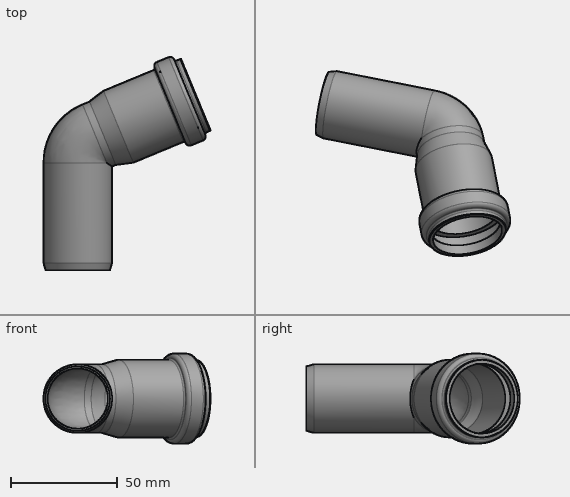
import cadquery as cq
import math

overall_length = 100.2

pipe_outer_r = 32.2 / 2
pipe_bore_r = 28.2 / 2
tip_taper_length = 3.5
tip_outer_r = 15.1

bend_radius = 13.5
bend_angle = 67.5

neck_end = 3.5
cone_end = 11.5
ring_start = 37.8
ring_end = 47.8
mouth_end = 50.9
socket_outer_r = 36.6 / 2
socket_bore_r = 33.0 / 2
lip_outer_r = socket_outer_r
lip_edge_r = 36.3 / 2
lip_edge_length = 0.4
lip_bore_r = 32.7 / 2
ring_outer_r = 42.4 / 2
groove_r = 38.8 / 2
wall = ring_outer_r - groove_r
ring_corner_r = 2.0
ring_root_r = 0.8
groove_start = ring_start + wall
groove_end = ring_end - wall

socket_turn = -bend_angle
socket_x = bend_radius * (1 - math.cos(math.radians(bend_angle)))
socket_y = bend_radius * math.sin(math.radians(bend_angle))

ring_top_y = (
    socket_y
    + (ring_end - ring_corner_r) * math.cos(math.radians(bend_angle))
    + (ring_outer_r - ring_corner_r) * math.sin(math.radians(bend_angle))
    + ring_corner_r
)
spigot_length = overall_length - ring_top_y


def revolve_about_y(outline):
    return outline.close().revolve(360, (0, 0, 0), (0, 1, 0))


def bend_solid(radius):
    """Revolve the part of the pipe's disc that lies outside the bend's turning axis."""
    half_chord = math.sqrt(radius**2 - bend_radius**2)
    section = (
        cq.Workplane("XZ")
        .moveTo(bend_radius, -half_chord)
        .threePointArc((-radius, 0), (bend_radius, half_chord))
        .close()
    )
    return section.revolve(bend_angle, (bend_radius, half_chord), (bend_radius, -half_chord))


def spigot_outside():
    return revolve_about_y(
        cq.Workplane("XY")
        .moveTo(0, 0)
        .lineTo(pipe_outer_r, 0)
        .lineTo(pipe_outer_r, tip_taper_length - spigot_length)
        .lineTo(tip_outer_r, -spigot_length)
        .lineTo(0, -spigot_length)
    )


def spigot_bore():
    return cq.Workplane("XZ").circle(pipe_bore_r).extrude(spigot_length)


def place_on_socket_axis(shape):
    return shape.rotate((0, 0, 0), (0, 0, 1), socket_turn).translate((socket_x, socket_y, 0))


def socket_outside():
    diagonal = ring_corner_r * (1 - math.sqrt(0.5))
    root_diagonal = ring_root_r * (1 - math.sqrt(0.5))
    return revolve_about_y(
        cq.Workplane("XY")
        .moveTo(0, 0)
        .lineTo(pipe_outer_r, 0)
        .lineTo(pipe_outer_r, neck_end)
        .lineTo(socket_outer_r, cone_end)
        .lineTo(socket_outer_r, ring_start - ring_root_r)
        .threePointArc(
            (socket_outer_r + root_diagonal, ring_start - root_diagonal),
            (socket_outer_r + ring_root_r, ring_start),
        )
        .lineTo(ring_outer_r - ring_corner_r, ring_start)
        .threePointArc(
            (ring_outer_r - diagonal, ring_start + diagonal),
            (ring_outer_r, ring_start + ring_corner_r),
        )
        .lineTo(ring_outer_r, ring_end - ring_corner_r)
        .threePointArc(
            (ring_outer_r - diagonal, ring_end - diagonal),
            (ring_outer_r - ring_corner_r, ring_end),
        )
        .lineTo(lip_outer_r + ring_root_r, ring_end)
        .threePointArc(
            (lip_outer_r + root_diagonal, ring_end + root_diagonal),
            (lip_outer_r, ring_end + ring_root_r),
        )
        .lineTo(lip_outer_r, mouth_end - lip_edge_length)
        .lineTo(lip_edge_r, mouth_end)
        .lineTo(0, mouth_end)
    )


def socket_bore():
    return revolve_about_y(
        cq.Workplane("XY")
        .moveTo(0, 0)
        .lineTo(pipe_bore_r, 0)
        .lineTo(pipe_bore_r, neck_end)
        .lineTo(socket_bore_r, cone_end)
        .lineTo(socket_bore_r, groove_start)
        .lineTo(groove_r, groove_start)
        .lineTo(groove_r, groove_end)
        .lineTo(lip_bore_r, groove_end)
        .lineTo(lip_bore_r, mouth_end)
        .lineTo(0, mouth_end)
    )


outside = spigot_outside().union(bend_solid(pipe_outer_r)).union(place_on_socket_axis(socket_outside()))
bore = spigot_bore().union(bend_solid(pipe_bore_r)).union(place_on_socket_axis(socket_bore()))
result = outside.cut(bore)